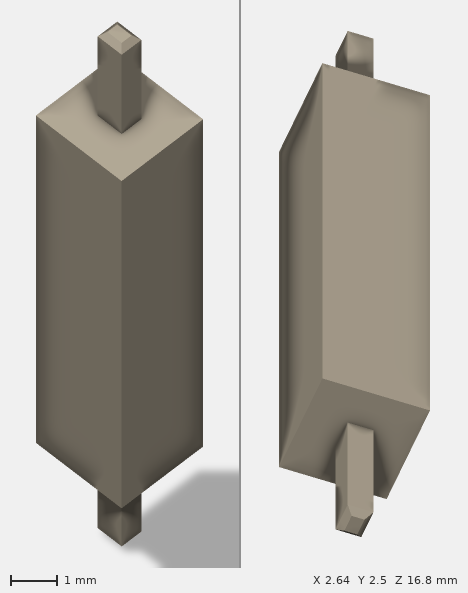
import cadquery as cq

body_width = 2.64
body_depth = 2.5
body_height = 10.95

pin_width = 0.74
pin_depth = 0.6
pin_above_body = 2.8
pin_below_body = 3.0
tip_chamfer = 0.15
pin_length = pin_below_body + body_height + pin_above_body


def make_body():
    """Rectangular block standing on the XY plane."""
    return cq.Workplane("XY").box(body_width, body_depth, body_height, centered=(True, True, False))


def make_pin():
    """Rectangular pin with chamfered tips at both ends."""
    blank = cq.Workplane("XY").workplane(offset=-pin_below_body).box(
        pin_width, pin_depth, pin_length, centered=(True, True, False)
    )
    return blank.faces("<Z or >Z").edges().chamfer(tip_chamfer)


result = make_body().union(make_pin())